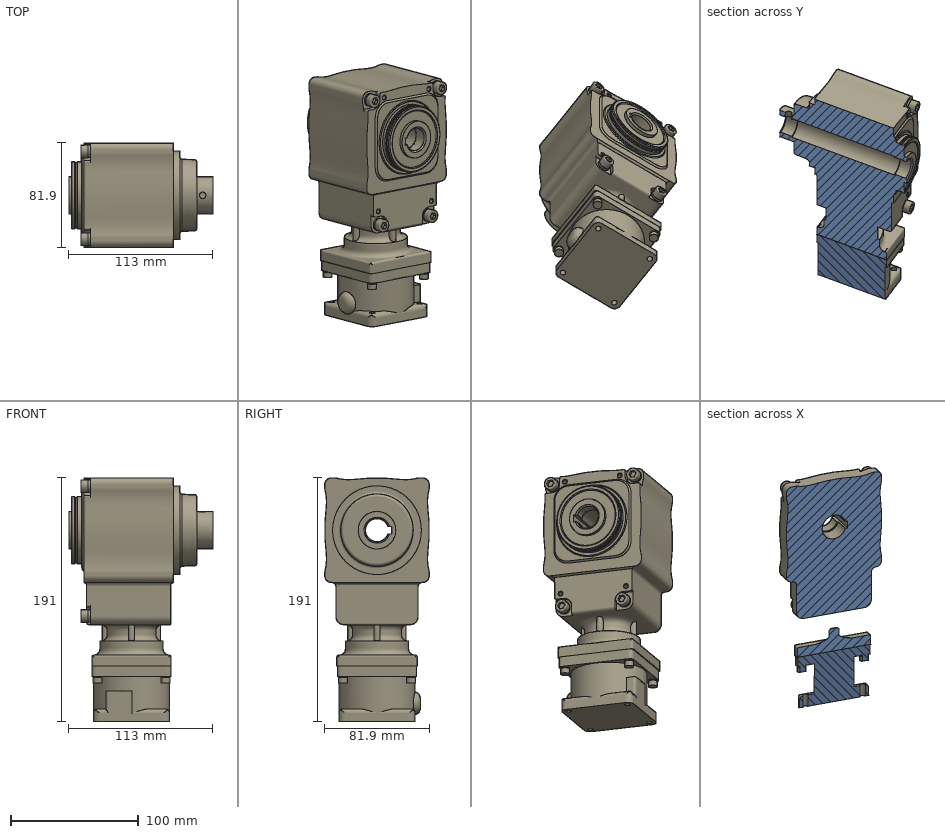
import cadquery as cq
import math


case_front = -37.2
case_back = 32.9
case_half = 40.97
case_corner_radius = 5.2
side_crown_half = 18.5
side_crown_end = 39.82
side_dip_middle = (25.0, 39.7)
side_dip_end = (31.7, 40.84)
side_land_start = (32.9, case_half)

lower_inset = 2.0
lower_slope = 1.1
lower_half = 32.3
lower_bottom = -74.1
lower_corner_radius = 6.5
waist_fillet = 3.2
bottom_front_fillet = 2.3
bottom_back_fillet = 1.0
lower_front = case_front + lower_inset
lower_back = case_back - lower_inset

screw_radius = 10.0 / 2
screw_head_front = -39.7
screw_head_fillet = 0.4
washer_front = -34.0
washer_radius = 9.7 / 2
screw_recess_floor = -32.3
screw_recess_radius = 7.0
screw_recess_mouth_fillet = 1.3
socket_flats = 5.0
socket_depth = 2.9
upper_screw = 34.4
lower_screw_y = 25.2
lower_screw_z = -67.2
screw_places = [
    (-upper_screw, upper_screw),
    (upper_screw, upper_screw),
    (-lower_screw_y, lower_screw_z),
    (lower_screw_y, lower_screw_z),
]

tapped_radius = 3.2 / 2
tapped_mouth_radius = 4.0 / 2
tapped_depth = 7.6
drill_point_angle = 118.0
upper_tapped_place = (23.0, 35.1)
lower_tapped_place = (27.3, -56.0)

pad_half = 32.3
pad_corner_radius = 12.5
pad_chamfer = 1.3
pad_root = 1.0
pad_front = case_front - pad_chamfer
disc_radius = 58.8 / 2
disc_front = pad_front - 0.8
disc_chamfer = 0.8
ring_radius = 53.0 / 2
ring_front = -47.2
ring_chamfer = 0.8
groove_depth = 0.67
groove_start = -44.7
groove_end = -42.2
ring_recess_radius = 23.3
ring_recess_floor_radius = 45.0 / 2
ring_recess_depth = ring_recess_radius - ring_recess_floor_radius

flange_radius = 34.8
flange_back = 37.8
boss_radius = 28.5
boss_end_radius = 27.9
boss_back = 51.2
boss_foot_fillet = 1.7
boss_end_fillet = 2.0

shaft_radius = 29.5 / 2
shaft_front = -49.0
shaft_back = 64.0
bore_radius = 9.0
bore_chamfer = 1.1
bore_fit_length = 11.0
bore_relief_radius = 10.0
key_width = 5.7
key_reach = 11.5
set_hole_x = 55.8
set_hole_radius = 5.0 / 2

neck_radius = 19.2
neck_fillet = 4.8
collar_top = -86.7
collar_radius = 24.8
collar_edge_width = 0.2
collar_edge_height = 1.3
rib_width = 5.0
rib_reach = 23.0
flange_plate_top = -97.8
flange_plate_x = 62.0
flange_plate_y = 63.2
flange_plate_corner = 2.1
flange_plate_fillet = 1.7
joint_z = -106.5

adapter_plate_width = 62.0
adapter_plate_bottom = -114.6
adapter_plate_corner = 3.2
adapter_radius = 29.9
base_bottom = case_half - 191.0
base_height = 10.1
base_corner_radius = 5.2
base_fillet = 3.6
base_hole_radius = 4.2 / 2
base_hole_place = 24.5
bolt_place = 26.7
bolt_shank_radius = 6.9 / 2
bolt_head_radius = 7.0 / 2
bolt_head_top = -115.5
bolt_bottom = -119.8
terminal_left = -20.0
terminal_right = 0.4
terminal_top = -126.0
terminal_corner = 2.3
plug_z = -135.6
plug_radius = 9.2
plug_reach = 34.2
plug_fillet = 5.7

past_edge = 19.1


def along_x(start_x):
    """Sketch plane facing +X, with local axes (Y, Z)."""
    return cq.Workplane("YZ", origin=(start_x, 0, 0))


def rod_x(start_x, end_x, radius, y=0.0, z=0.0):
    return along_x(start_x).center(y, z).circle(radius).extrude(end_x - start_x)


def rod_z(start_z, end_z, radius, x=0.0, y=0.0):
    return cq.Workplane("XY", origin=(x, y, start_z)).circle(radius).extrude(end_z - start_z)


def turned_x(points):
    """Solid of revolution about the X axis from (X, radius) points."""
    return cq.Workplane("XY").polyline(points).close().revolve(360, (0, 0, 0), (1, 0, 0))


def plate_z(start_z, end_z, size_x, size_y):
    return cq.Workplane("XY", origin=(0, 0, start_z)).rect(size_x, size_y).extrude(end_z - start_z)


def wavy_side(sketch, turn):
    """Draw one waved side of the upper block, turned about the output axis by a number of degrees."""
    cosine = math.cos(math.radians(turn))
    sine = math.sin(math.radians(turn))

    def place(along, out):
        return (along * cosine - out * sine, along * sine + out * cosine)

    def mirrored(point):
        return place(-point[0], point[1])

    crown_end = (side_crown_half, side_crown_end)
    return (
        sketch.lineTo(*place(*side_land_start))
        .lineTo(*place(*side_dip_end))
        .threePointArc(place(*side_dip_middle), place(*crown_end))
        .threePointArc(place(0, case_half), mirrored(crown_end))
        .threePointArc(mirrored(side_dip_middle), mirrored(side_dip_end))
        .lineTo(*mirrored(side_land_start))
        .lineTo(*place(-case_half, case_half))
    )


def upper_block():
    sketch = along_x(case_front).moveTo(case_half, case_half)
    for turn in (0, 90):
        sketch = wavy_side(sketch, turn)
    sketch = sketch.lineTo(case_half, -case_half)
    sketch = wavy_side(sketch, 270)
    block = sketch.close().extrude(case_back - case_front)
    middle_x = (case_front + case_back) / 2
    for y in (-case_half, case_half):
        for z in (-case_half, case_half):
            corner = cq.selectors.NearestToPointSelector((middle_x, y, z))
            block = block.edges("|X").edges(corner).fillet(case_corner_radius)
    return block


def lower_block():
    """Lower block with flared top corners, sloped shoulders and rounded bottom edges."""
    flare = lower_half + waist_fillet
    flare_z = -case_half - waist_fillet
    bend = waist_fillet * (1 - math.sqrt(0.5))
    across = (
        along_x(case_front)
        .moveTo(-flare, 0)
        .lineTo(-flare, -case_half)
        .threePointArc((-lower_half - bend, -case_half - bend), (-lower_half, flare_z))
        .lineTo(-lower_half, lower_bottom)
        .lineTo(lower_half, lower_bottom)
        .lineTo(lower_half, flare_z)
        .threePointArc((lower_half + bend, -case_half - bend), (flare, -case_half))
        .lineTo(flare, 0)
        .close()
        .extrude(case_back - case_front)
        .faces("<Z")
        .edges("|X")
        .fillet(lower_corner_radius)
    )
    shoulder_z = -case_half - lower_slope
    profile = (
        cq.Workplane("XZ", origin=(0, case_half, 0))
        .polyline(
            [
                (case_front, 0),
                (case_front, -case_half),
                (lower_front, shoulder_z),
                (lower_front, lower_bottom),
                (lower_back, lower_bottom),
                (lower_back, shoulder_z),
                (case_back, -case_half),
                (case_back, 0),
            ]
        )
        .close()
        .extrude(2 * case_half)
    )
    profile = profile.faces("<Z").edges("<X").fillet(bottom_front_fillet)
    profile = profile.faces("<Z").edges(">X").fillet(bottom_back_fillet)
    return across.intersect(profile)


def screw_recess(y, z):
    """Corner pocket around a screw, open towards both outer sides of the corner."""
    depth = screw_recess_floor - case_front + past_edge
    tool = rod_x(case_front - past_edge, screw_recess_floor, screw_recess_radius, y, z)
    out_y = math.copysign(1, y)
    out_z = math.copysign(1, z)
    for reach_y, reach_z in ((screw_recess_radius, 0), (0, screw_recess_radius)):
        size_y = past_edge + reach_y
        size_z = past_edge + reach_z
        middle_y = y + out_y * (past_edge - reach_y) / 2
        middle_z = z + out_z * (past_edge - reach_z) / 2
        box = cq.Workplane("XY").box(depth, size_y, size_z)
        tool = tool.union(box.translate((screw_recess_floor - depth / 2, middle_y, middle_z)))
    return tool


def round_recess_mouths(body):
    """Round the edges where the screw recesses open into the outer sides of the case."""
    middle_x = (case_front + screw_recess_floor) / 2
    for y, z in screw_places:
        inner_y = y - math.copysign(screw_recess_radius, y)
        inner_z = z - math.copysign(screw_recess_radius, z)
        if z > 0:
            side_y = math.copysign(case_half, y)
            mouths = [(side_y, inner_z), (inner_y, case_half)]
        else:
            side_y = math.copysign(lower_half, y)
            mouths = [(side_y, inner_z)]
        for mouth_y, mouth_z in mouths:
            edge = cq.selectors.NearestToPointSelector((middle_x, mouth_y, mouth_z))
            body = body.edges("|X").edges(edge).fillet(screw_recess_mouth_fillet)
    return body


def cover_screw(y, z):
    head = rod_x(screw_head_front, washer_front, screw_radius, y, z)
    head = head.faces("<X").edges().fillet(screw_head_fillet)
    washer = rod_x(washer_front, screw_recess_floor, washer_radius, y, z)
    across_corners = socket_flats / math.cos(math.pi / 6)
    socket = along_x(screw_head_front).center(y, z).polygon(6, across_corners).extrude(socket_depth)
    return head.cut(socket).union(washer)


def tapped_hole(y, z, face_x):
    """Blind hole with a chamfered mouth and a conical drill point."""
    mouth = tapped_mouth_radius - tapped_radius
    point = tapped_radius / math.tan(math.radians(drill_point_angle / 2))
    hole = turned_x(
        [
            (0, 0),
            (0, tapped_mouth_radius),
            (mouth, tapped_radius),
            (tapped_depth, tapped_radius),
            (tapped_depth + point, 0),
        ]
    )
    return hole.translate((face_x, y, z))


def front_pad():
    pad = (
        along_x(pad_front)
        .rect(2 * pad_half, 2 * pad_half)
        .extrude(case_front - pad_front + pad_root)
        .edges("|X")
        .fillet(pad_corner_radius)
    )
    return pad.faces("<X").chamfer(pad_chamfer)


def seal_ring():
    """Disc and grooved ring on the front pad, with a shallow conical recess in the ring's face."""
    groove_floor = ring_radius - groove_depth
    return turned_x(
        [
            (case_front, 0),
            (case_front, disc_radius),
            (disc_front + disc_chamfer, disc_radius),
            (disc_front, disc_radius - disc_chamfer),
            (disc_front, ring_radius),
            (groove_end, ring_radius),
            (groove_end - groove_depth, groove_floor),
            (groove_start + groove_depth, groove_floor),
            (groove_start, ring_radius),
            (ring_front + ring_chamfer, ring_radius),
            (ring_front, ring_radius - ring_chamfer),
            (ring_front, ring_recess_radius),
            (ring_front + ring_recess_depth, ring_recess_floor_radius),
            (ring_front + ring_recess_depth, 0),
        ]
    )


def back_flange():
    flange = rod_x(case_back, flange_back, flange_radius)
    boss = turned_x(
        [
            (flange_back, 0),
            (flange_back, boss_radius),
            (boss_back, boss_end_radius),
            (boss_back, 0),
        ]
    )
    boss = boss.edges(">X").fillet(boss_end_fillet)
    foot = (
        cq.Workplane("XY")
        .moveTo(flange_back, 0)
        .lineTo(flange_back, boss_radius + boss_foot_fillet)
        .radiusArc((flange_back + boss_foot_fillet, boss_radius), -boss_foot_fillet)
        .lineTo(flange_back + boss_foot_fillet, 0)
        .close()
        .revolve(360, (0, 0, 0), (1, 0, 0))
    )
    return flange.union(boss).union(foot)


def shaft_bore():
    """Chamfered and relieved through bore with its keyway on the +Y side, and the set-screw hole from above."""
    relief_front = shaft_front + bore_fit_length
    relief_back = shaft_back - bore_fit_length
    bore = turned_x(
        [
            (shaft_front, 0),
            (shaft_front, bore_radius + bore_chamfer),
            (shaft_front + bore_chamfer, bore_radius),
            (relief_front, bore_radius),
            (relief_front, bore_relief_radius),
            (relief_back, bore_relief_radius),
            (relief_back, bore_radius),
            (shaft_back - bore_chamfer, bore_radius),
            (shaft_back, bore_radius + bore_chamfer),
            (shaft_back, 0),
        ]
    )
    keyway = along_x(shaft_front).center(key_reach / 2, 0).rect(key_reach, key_width)
    set_hole = rod_z(0, shaft_radius + past_edge, set_hole_radius, x=set_hole_x)
    return bore.union(keyway.extrude(shaft_back - shaft_front)).union(set_hole)


def neck():
    """Waisted neck that flares into the lower block and the collar, which flares into the flange."""
    flare = neck_radius + neck_fillet
    flange_flare = collar_radius + neck_fillet
    core = (
        cq.Workplane("XZ")
        .moveTo(0, lower_bottom)
        .lineTo(flare, lower_bottom)
        .radiusArc((neck_radius, lower_bottom - neck_fillet), -neck_fillet)
        .lineTo(neck_radius, collar_top + neck_fillet)
        .radiusArc((flare, collar_top), -neck_fillet)
        .lineTo(collar_radius - collar_edge_width, collar_top)
        .lineTo(collar_radius, collar_top - collar_edge_height)
        .lineTo(collar_radius, flange_plate_top + neck_fillet)
        .radiusArc((flange_flare, flange_plate_top), -neck_fillet)
        .lineTo(0, flange_plate_top)
        .close()
        .revolve(360, (0, 0, 0), (0, 1, 0))
    )
    for angle in (0, 90):
        rib = cq.Workplane("XY", origin=(0, 0, collar_top)).slot2D(2 * rib_reach, rib_width, angle)
        core = core.union(rib.extrude(lower_bottom - collar_top))
    return core


def input_flange():
    plate = plate_z(joint_z, flange_plate_top, flange_plate_x, flange_plate_y)
    plate = plate.edges(">Z").fillet(flange_plate_fillet)
    outline = plate_z(joint_z, flange_plate_top, flange_plate_x, flange_plate_y)
    return plate.intersect(outline.edges("|Z").fillet(flange_plate_corner))


def make_gearbox():
    body = upper_block().union(lower_block())
    for y, z in screw_places:
        body = body.cut(screw_recess(y, z))
    body = round_recess_mouths(body)
    body = body.union(front_pad()).union(seal_ring()).union(back_flange())
    body = body.union(rod_x(shaft_front, shaft_back, shaft_radius)).cut(shaft_bore())
    for side in (-1, 1):
        body = body.cut(tapped_hole(side * upper_tapped_place[0], upper_tapped_place[1], case_front))
        body = body.cut(tapped_hole(side * lower_tapped_place[0], lower_tapped_place[1], lower_front))
    for y, z in screw_places:
        body = body.union(cover_screw(y, z))
    return body.union(neck()).union(input_flange())


def adapter_base():
    """Square base plate: top edges rounded first, then the upright corners."""
    width = 2 * adapter_radius
    base_top = base_bottom + base_height
    base = plate_z(base_bottom, base_top, width, width).edges(">Z").fillet(base_fillet)
    outline = plate_z(base_bottom, base_top, width, width).edges("|Z").fillet(base_corner_radius)
    return base.intersect(outline)


def terminal_pad():
    return (
        cq.Workplane("XY", origin=(0, 0, base_bottom))
        .moveTo(terminal_left, 0)
        .lineTo(terminal_left, -adapter_radius + terminal_corner)
        .radiusArc((terminal_left + terminal_corner, -adapter_radius), -terminal_corner)
        .lineTo(terminal_right, -adapter_radius)
        .lineTo(terminal_right, 0)
        .close()
        .extrude(terminal_top - base_bottom)
    )


def access_plug():
    plug = cq.Workplane("XZ", origin=(0, plug_reach, plug_z)).circle(plug_radius).extrude(plug_reach)
    return plug.faces(">Y").edges().fillet(plug_fillet)


def make_adapter():
    plate = plate_z(adapter_plate_bottom, joint_z, adapter_plate_width, adapter_plate_width)
    body = plate.edges("|Z").fillet(adapter_plate_corner)
    body = body.union(rod_z(base_bottom, adapter_plate_bottom, adapter_radius))
    body = body.union(adapter_base()).union(terminal_pad()).union(access_plug())
    for x in (-1, 1):
        for y in (-1, 1):
            bolt_x = x * bolt_place
            bolt_y = y * bolt_place
            body = body.union(rod_z(bolt_head_top, adapter_plate_bottom, bolt_shank_radius, bolt_x, bolt_y))
            body = body.union(rod_z(bolt_bottom, bolt_head_top, bolt_head_radius, bolt_x, bolt_y))
            hole_x = x * base_hole_place
            hole_y = y * base_hole_place
            hole = rod_z(base_bottom, base_bottom + base_height, base_hole_radius, hole_x, hole_y)
            body = body.cut(hole)
    return body


gearbox = make_gearbox()
adapter = make_adapter()
result = cq.Compound.makeCompound([gearbox.val(), adapter.val()])